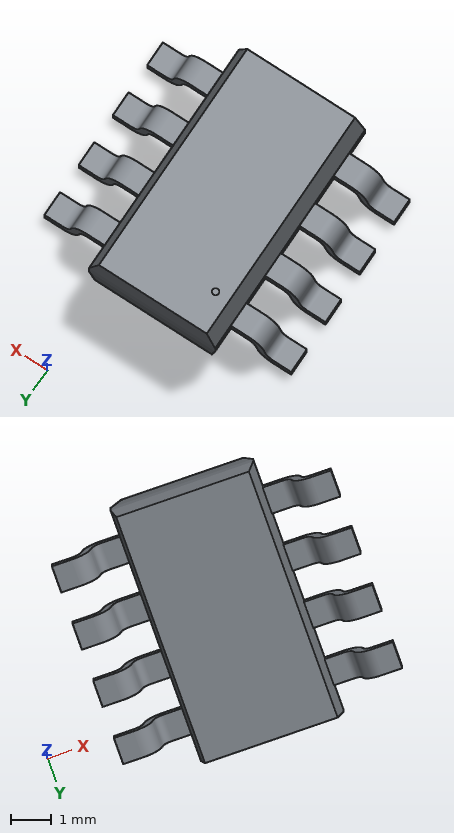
import cadquery as cq
import math


OVERALL_WIDTH = 7.3
BODY_LENGTH = 6.71
BODY_HEIGHT = 1.7

BODY_WIDTH = 3.73
BAND_BOTTOM = 0.7
BAND_TOP = 1.0
TOP_INSET_X = 0.27
TOP_INSET_Y = 0.04
BOTTOM_INSET_X = 0.13
BOTTOM_INSET_Y = 0.06

LEADS_PER_SIDE = 4
LEAD_PITCH = 1.53
LEAD_WIDTH = 0.7
LEAD_THICKNESS = 0.25
FOOT_LENGTH = 0.52
INNER_BEND_RADIUS = LEAD_THICKNESS
OUTER_BEND_RADIUS = INNER_BEND_RADIUS + LEAD_THICKNESS
BEND_ANGLE = 74.0
SHOULDER_BOTTOM = (BAND_BOTTOM + BAND_TOP - LEAD_THICKNESS) / 2

MARKER_DIAMETER = 0.18
MARKER_DEPTH = 0.04
MARKER_X = -1.18

LEAD_ROWS = [(i - (LEADS_PER_SIDE - 1) / 2) * LEAD_PITCH for i in range(LEADS_PER_SIDE)]
MARKER_Y = LEAD_ROWS[-1]


def drafted_block(z_start, z_end, inset_x, inset_y):
    """Block with the full body outline at z_start, inset on every side at z_end."""
    return (
        cq.Workplane("XY", origin=(0, 0, z_start))
        .rect(BODY_WIDTH, BODY_LENGTH)
        .workplane(offset=z_end - z_start)
        .rect(BODY_WIDTH - 2 * inset_x, BODY_LENGTH - 2 * inset_y)
        .loft(ruled=True)
    )


def make_marker():
    return (
        cq.Workplane("XY", origin=(MARKER_X, MARKER_Y, BODY_HEIGHT - MARKER_DEPTH))
        .circle(MARKER_DIAMETER / 2)
        .extrude(MARKER_DEPTH)
    )


def make_housing():
    band = (
        cq.Workplane("XY", origin=(0, 0, BAND_BOTTOM))
        .rect(BODY_WIDTH, BODY_LENGTH)
        .extrude(BAND_TOP - BAND_BOTTOM)
    )
    upper_half = drafted_block(BAND_TOP, BODY_HEIGHT, TOP_INSET_X, TOP_INSET_Y)
    lower_half = drafted_block(BAND_BOTTOM, 0, BOTTOM_INSET_X, BOTTOM_INSET_Y)
    marker_recess = make_marker()
    return band.union(upper_half).union(lower_half).cut(marker_recess)


def bend_point(center, radius, degrees):
    """Point (x, z) on a bend, at an angle counted from +X towards +Z."""
    angle = math.radians(degrees)
    return (center[0] + radius * math.cos(angle), center[1] + radius * math.sin(angle))


def make_lead(row_y):
    """Gull-wing lead on the -X side: foot, S-shaped riser and shoulder ending at the housing."""
    tip_x = -OVERALL_WIDTH / 2
    housing_x = -BODY_WIDTH / 2
    shoulder_top = SHOULDER_BOTTOM + LEAD_THICKNESS

    slope = math.radians(BEND_ANGLE)
    mid_radius = (INNER_BEND_RADIUS + OUTER_BEND_RADIUS) / 2
    bends_rise = 2 * mid_radius * (1 - math.cos(slope))
    riser_length = (SHOULDER_BOTTOM - bends_rise) / math.sin(slope)
    bends_run = 2 * mid_radius * math.sin(slope) + riser_length * math.cos(slope)
    foot_bend = (tip_x + FOOT_LENGTH, OUTER_BEND_RADIUS)
    shoulder_bend = (foot_bend[0] + bends_run, shoulder_top - OUTER_BEND_RADIUS)

    foot_start = -90.0
    foot_middle = foot_start + BEND_ANGLE / 2
    foot_end = foot_start + BEND_ANGLE
    shoulder_end = 90.0
    shoulder_middle = shoulder_end + BEND_ANGLE / 2
    shoulder_start = shoulder_end + BEND_ANGLE

    profile = (
        cq.Workplane("XZ", origin=(0, row_y + LEAD_WIDTH / 2, 0))
        .moveTo(tip_x, 0)
        .lineTo(*bend_point(foot_bend, OUTER_BEND_RADIUS, foot_start))
        .threePointArc(
            bend_point(foot_bend, OUTER_BEND_RADIUS, foot_middle),
            bend_point(foot_bend, OUTER_BEND_RADIUS, foot_end),
        )
        .lineTo(*bend_point(shoulder_bend, INNER_BEND_RADIUS, shoulder_start))
        .threePointArc(
            bend_point(shoulder_bend, INNER_BEND_RADIUS, shoulder_middle),
            bend_point(shoulder_bend, INNER_BEND_RADIUS, shoulder_end),
        )
        .lineTo(housing_x, SHOULDER_BOTTOM)
        .lineTo(housing_x, shoulder_top)
        .lineTo(*bend_point(shoulder_bend, OUTER_BEND_RADIUS, shoulder_end))
        .threePointArc(
            bend_point(shoulder_bend, OUTER_BEND_RADIUS, shoulder_middle),
            bend_point(shoulder_bend, OUTER_BEND_RADIUS, shoulder_start),
        )
        .lineTo(*bend_point(foot_bend, INNER_BEND_RADIUS, foot_end))
        .threePointArc(
            bend_point(foot_bend, INNER_BEND_RADIUS, foot_middle),
            bend_point(foot_bend, INNER_BEND_RADIUS, foot_start),
        )
        .lineTo(tip_x, LEAD_THICKNESS)
        .close()
    )
    return profile.extrude(LEAD_WIDTH)


housing = make_housing()
marker = make_marker()
leads = []
for lead_y in LEAD_ROWS:
    left_lead = make_lead(lead_y)
    right_lead = make_lead(-lead_y).rotate((0, 0, 0), (0, 0, 1), 180)
    leads += [left_lead.val(), right_lead.val()]

result = cq.Compound.makeCompound([housing.solids().val(), marker.val(), *leads])